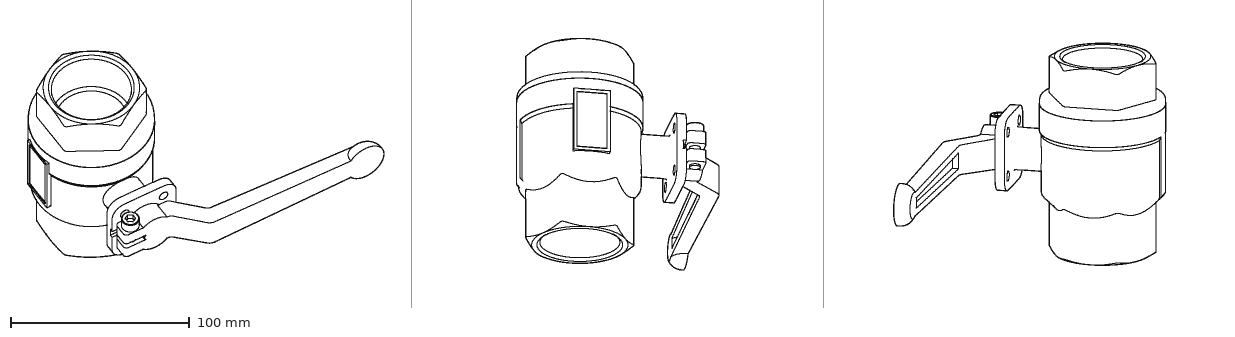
import cadquery as cq
import math


HALF_LENGTH = 57.0
HEX_FLATS = 54.0
HEX_EDGE_RADIUS = 2.5
HEX_CHAMFER_ANGLE = 30.0
PORT_DIAMETER = 40.0
THREAD_DIAMETER = 44.84
THREAD_DEPTH = 25.0
THREAD_END_TAPER = 1.0
MOUTH_DIAMETER = 48.0

COLLAR_RADIUS = 71.0 / 2
COLLAR_RIM_RADIUS = 70.6 / 2
COLLAR_TOP = 33.95
COLLAR_FILLET = 2.0
COLLAR_STEP_Z = 29.4
COLLAR_BOTTOM = 13.9
NECK_BOTTOM = 11.7
COLLAR_OVERLAP = 1.0
BODY_RADIUS = 34.4
BODY_BOTTOM = -22.3
BODY_FILLET = 2.0
CONE_DEPTH = 10.0
RIM_SEARCH_MARGIN = 1.0
RIB_WIDTH = 10.0

PLATE_FACE_Y = -35.56
PLATE_WIDTH = 20.8
PLATE_HEIGHT = 37.0
PLATE_CENTER_Z = 4.3
PLATE_BORDER = 1.9
PLATE_RECESS = 0.5
PLATE_ROOT_DEPTH = 12.0

STEM_DIAMETER = 24.0
STEM_FILLET = 2.0
FLANGE_FRONT_X = 51.3
FLANGE_BACK_X = 56.8
FLANGE_SIZE = 42.0
FLANGE_CROWN = 0.25
FLANGE_CORNER = 8.0
FLANGE_HOLE_DIAMETER = 5.5
FLANGE_HOLE_CIRCLE = 36.0
SPINDLE_DIAMETER = 13.9
SPINDLE_KEY_WIDTH = 1.6
SPINDLE_KEY_HEIGHT = 1.2
NOTCH_WIDTH = 4.8
NOTCH_DEPTH = 1.9

HUB_FRONT_X = 57.6
HUB_BACK_X = 68.5
CLAMP_FRONT_X = 57.9
CLAMP_END_Y = -19.6
CLAMP_HALF_HEIGHT = 9.2
CLAMP_CORNER = 2.2
SLIT_WIDTH = 3.6

SCREW_X = 63.1
SCREW_Y = -12.9
SCREW_DIAMETER = 6.0
SCREW_END_Z = -10.2
HEAD_DIAMETER = 10.0
HEAD_HEIGHT = 6.0
HEAD_CHAMFER = 0.4
SOCKET_FLATS = 5.0
SOCKET_DEPTH = 3.0
SOCKET_TIP_DEPTH = 1.4

LEVER_BACK_X = 85.05
LEVER_FRONT_X = 58.2
LEVER_OFFSET_X = 74.7
LEVER_HALF_WIDTH = 9.2
LEVER_OUTER_BEND_Y = 10.1
LEVER_INNER_BEND_Y = 14.7
LOWER_BEND_RADIUS = 4.0
UPPER_BEND_RADIUS = 6.0
TAPER = math.tan(math.radians(1.05))
KNOB_Y = 128.0
KNOB_RADIUS = 12.0
KNOB_RIM = 1.2
KNOB_ROUNDING = 8.3
GROOVE_START_Y = 33.0
GROOVE_END_Y = 121.8
GROOVE_DEPTH = 3.6
GROOVE_START_HALF_WIDTH = 4.6
GROOVE_END_HALF_WIDTH = 3.0

OUTER_BEND_TOP_Y = LEVER_OUTER_BEND_Y + LEVER_BACK_X - HUB_BACK_X
INNER_BEND_TOP_Y = LEVER_INNER_BEND_Y + LEVER_OFFSET_X - LEVER_FRONT_X


def x_cylinder(diameter, x_start, x_end):
    """Cylinder on the stem axis."""
    return cq.Workplane("YZ", origin=(x_start, 0, 0)).circle(diameter / 2).extrude(x_end - x_start)


def box_between(x_range, y_range, z_range):
    """Box given by its limits along each axis."""
    lows, highs = zip(x_range, y_range, z_range)
    sizes = [high - low for low, high in zip(lows, highs)]
    return cq.Workplane("XY").box(*sizes, centered=False).translate(lows)


def lever_front_x(y):
    """X of the tapered front face of the lever's straight part."""
    return LEVER_OFFSET_X + (y - INNER_BEND_TOP_Y) * TAPER


def make_hexagon():
    """Full-length hexagon with rounded edges and conically chamfered ends."""
    corner_diameter = HEX_FLATS / math.cos(math.pi / 6)
    prism = (
        cq.Workplane("XY", origin=(0, 0, -HALF_LENGTH))
        .polygon(6, corner_diameter)
        .extrude(2 * HALF_LENGTH)
        .edges("|Z")
        .fillet(HEX_EDGE_RADIUS)
    )
    face_radius = HEX_FLATS / 2
    outer_radius = corner_diameter / 2
    drop = (outer_radius - face_radius) * math.tan(math.radians(HEX_CHAMFER_ANGLE))
    envelope = (
        cq.Workplane("XZ")
        .moveTo(0, -HALF_LENGTH)
        .lineTo(face_radius, -HALF_LENGTH)
        .lineTo(outer_radius, drop - HALF_LENGTH)
        .lineTo(outer_radius, HALF_LENGTH - drop)
        .lineTo(face_radius, HALF_LENGTH)
        .lineTo(0, HALF_LENGTH)
        .close()
        .revolve(360, (0, 0, 0), (0, 1, 0))
    )
    return prism.intersect(envelope)


def make_barrel(radius):
    """Barrel below the collar, closed by a 45 degree cone shared by all barrel radii."""
    cone_start_z = BODY_BOTTOM + radius - BODY_RADIUS
    barrel = (
        cq.Workplane("XZ")
        .moveTo(0, COLLAR_BOTTOM + COLLAR_OVERLAP)
        .lineTo(radius, COLLAR_BOTTOM + COLLAR_OVERLAP)
        .lineTo(radius, cone_start_z)
        .lineTo(BODY_RADIUS - CONE_DEPTH, BODY_BOTTOM - CONE_DEPTH)
        .lineTo(0, BODY_BOTTOM - CONE_DEPTH)
        .close()
        .revolve(360, (0, 0, 0), (0, 1, 0))
    )
    bottom_rim = cq.selectors.BoxSelector(
        (-COLLAR_RADIUS, -COLLAR_RADIUS, cone_start_z - RIM_SEARCH_MARGIN),
        (COLLAR_RADIUS, COLLAR_RADIUS, cone_start_z + RIM_SEARCH_MARGIN),
    )
    return barrel.edges("%CIRCLE").edges(bottom_rim).fillet(BODY_FILLET)


def make_collar():
    """Stepped collar with a rounded top rim and a conical neck below."""
    return (
        cq.Workplane("XZ")
        .moveTo(0, COLLAR_TOP)
        .lineTo(COLLAR_RIM_RADIUS - COLLAR_FILLET, COLLAR_TOP)
        .radiusArc((COLLAR_RIM_RADIUS, COLLAR_TOP - COLLAR_FILLET), COLLAR_FILLET)
        .lineTo(COLLAR_RIM_RADIUS, COLLAR_STEP_Z)
        .lineTo(COLLAR_RADIUS, COLLAR_STEP_Z)
        .lineTo(COLLAR_RADIUS, COLLAR_BOTTOM)
        .lineTo(COLLAR_RIM_RADIUS, COLLAR_BOTTOM)
        .lineTo(BODY_RADIUS, NECK_BOTTOM)
        .lineTo(0, NECK_BOTTOM)
        .close()
        .revolve(360, (0, 0, 0), (0, 1, 0))
    )


def make_rib():
    """Vertical rib on the -X side, flush with the collar."""
    strip = box_between(
        (-COLLAR_RADIUS, 0),
        (-RIB_WIDTH / 2, RIB_WIDTH / 2),
        (BODY_BOTTOM - CONE_DEPTH, COLLAR_BOTTOM + COLLAR_OVERLAP),
    )
    return make_barrel(COLLAR_RADIUS).intersect(strip)


def make_name_plate():
    """Rectangular plate block and the shallow recess to cut from its face."""
    plate = (
        cq.Workplane("XZ", origin=(0, PLATE_FACE_Y, PLATE_CENTER_Z))
        .rect(PLATE_WIDTH, PLATE_HEIGHT)
        .extrude(-PLATE_ROOT_DEPTH)
    )
    recess = (
        cq.Workplane("XZ", origin=(0, PLATE_FACE_Y, PLATE_CENTER_Z))
        .rect(PLATE_WIDTH - 2 * PLATE_BORDER, PLATE_HEIGHT - 2 * PLATE_BORDER)
        .extrude(-PLATE_RECESS)
    )
    return plate, recess


def make_bore():
    """Port with a thread-size counterbore and a chamfered mouth at each end."""
    port_radius = PORT_DIAMETER / 2
    thread_radius = THREAD_DIAMETER / 2
    mouth_radius = MOUTH_DIAMETER / 2
    thread_end = HALF_LENGTH - THREAD_DEPTH
    half = (
        cq.Workplane("XZ")
        .lineTo(port_radius, 0)
        .lineTo(port_radius, thread_end - THREAD_END_TAPER)
        .lineTo(thread_radius, thread_end)
        .lineTo(thread_radius, HALF_LENGTH - (mouth_radius - thread_radius))
        .lineTo(mouth_radius, HALF_LENGTH)
        .lineTo(0, HALF_LENGTH)
        .close()
        .revolve(360, (0, 0, 0), (0, 1, 0))
    )
    return half.union(half.mirror("XY"))


def make_flange():
    """Square, crowned mounting flange with four holes, a raised face and a notch."""
    hole_pitch = FLANGE_HOLE_CIRCLE / math.sqrt(2)
    half = FLANGE_SIZE / 2
    crest = half + FLANGE_CROWN
    outline = [(-half, -half), (0, -crest), (half, -half), (half, half), (0, crest), (-half, half)]
    flange = (
        cq.Workplane("YZ", origin=(FLANGE_FRONT_X, 0, 0))
        .polyline(outline)
        .close()
        .extrude(FLANGE_BACK_X - FLANGE_FRONT_X)
        .edges("|X and (<Y or >Y)")
        .fillet(FLANGE_CORNER)
        .faces(">X")
        .workplane()
        .rect(hole_pitch, hole_pitch, forConstruction=True)
        .vertices()
        .hole(FLANGE_HOLE_DIAMETER)
    )
    raised_face = x_cylinder(STEM_DIAMETER, FLANGE_BACK_X, HUB_FRONT_X)
    notch = box_between(
        (FLANGE_BACK_X - NOTCH_DEPTH, HUB_FRONT_X),
        (-half, SPINDLE_KEY_HEIGHT - SPINDLE_DIAMETER / 2),
        (-NOTCH_WIDTH / 2, NOTCH_WIDTH / 2),
    )
    return flange.union(raised_face).cut(notch)


def make_stem():
    """Stem housing flared by a fillet where it meets the flange."""
    radius = STEM_DIAMETER / 2
    return (
        cq.Workplane("XY")
        .moveTo(PORT_DIAMETER / 2, 0)
        .lineTo(PORT_DIAMETER / 2, radius)
        .lineTo(FLANGE_FRONT_X - STEM_FILLET, radius)
        .radiusArc((FLANGE_FRONT_X, radius + STEM_FILLET), -STEM_FILLET)
        .lineTo(FLANGE_FRONT_X, 0)
        .close()
        .revolve(360, (0, 0, 0), (1, 0, 0))
    )


def make_spindle():
    """Spindle inside the hub, with a tapered key facing the slit."""
    front_x = FLANGE_BACK_X - NOTCH_DEPTH
    key_top_y = -SPINDLE_DIAMETER / 2
    key_base_y = key_top_y + SPINDLE_KEY_HEIGHT
    base_half_width = SPINDLE_KEY_WIDTH / 2 + SPINDLE_KEY_HEIGHT
    core = x_cylinder(SPINDLE_DIAMETER - 2 * SPINDLE_KEY_HEIGHT, front_x, HUB_BACK_X)
    key = (
        cq.Workplane("YZ", origin=(front_x, 0, 0))
        .moveTo(0, -base_half_width)
        .lineTo(key_base_y, -base_half_width)
        .lineTo(key_top_y, -SPINDLE_KEY_WIDTH / 2)
        .lineTo(key_top_y, SPINDLE_KEY_WIDTH / 2)
        .lineTo(key_base_y, base_half_width)
        .lineTo(0, base_half_width)
        .close()
        .extrude(HUB_BACK_X - front_x)
    )
    return core.union(key)


def make_clamp_hub():
    """Round hub with a slit clamp block on its -Y side."""
    hub = x_cylinder(STEM_DIAMETER, HUB_FRONT_X, HUB_BACK_X)
    block = box_between(
        (CLAMP_FRONT_X, HUB_BACK_X),
        (CLAMP_END_Y, 0),
        (-CLAMP_HALF_HEIGHT, CLAMP_HALF_HEIGHT),
    )
    block = block.edges("|Z and <Y").fillet(CLAMP_CORNER)
    slit = box_between(
        (HUB_FRONT_X, HUB_BACK_X),
        (CLAMP_END_Y, SPINDLE_KEY_HEIGHT - SPINDLE_DIAMETER / 2),
        (-SLIT_WIDTH / 2, SLIT_WIDTH / 2),
    )
    return hub.union(block).cut(slit).union(make_spindle())


def make_screw():
    """Hexagon socket screw closing the clamp."""
    head_top = CLAMP_HALF_HEIGHT + HEAD_HEIGHT
    shank = (
        cq.Workplane("XY", origin=(SCREW_X, SCREW_Y, SCREW_END_Z))
        .circle(SCREW_DIAMETER / 2)
        .extrude(CLAMP_HALF_HEIGHT - SCREW_END_Z)
    )
    head = (
        cq.Workplane("XY", origin=(SCREW_X, SCREW_Y, CLAMP_HALF_HEIGHT))
        .circle(HEAD_DIAMETER / 2)
        .extrude(HEAD_HEIGHT)
        .faces(">Z")
        .chamfer(HEAD_CHAMFER)
    )
    socket_bottom = head_top - SOCKET_DEPTH
    socket = (
        cq.Workplane("XY", origin=(SCREW_X, SCREW_Y, socket_bottom))
        .polygon(6, SOCKET_FLATS / math.cos(math.pi / 6))
        .extrude(SOCKET_DEPTH)
    )
    tip = cq.Workplane("XY").add(
        cq.Solid.makeCone(
            SOCKET_FLATS / 2,
            0,
            SOCKET_TIP_DEPTH,
            pnt=cq.Vector(SCREW_X, SCREW_Y, socket_bottom),
            dir=cq.Vector(0, 0, -1),
        )
    )
    return shank.union(head).cut(socket).cut(tip)


def make_lever_bar():
    """Cranked, tapered bar with a rounded end."""
    end_half_width = LEVER_HALF_WIDTH - KNOB_Y * TAPER
    end_y = KNOB_Y + end_half_width
    bar = (
        cq.Workplane("XY", origin=(0, 0, -LEVER_HALF_WIDTH))
        .moveTo(HUB_BACK_X, 0)
        .lineTo(HUB_BACK_X, LEVER_OUTER_BEND_Y)
        .lineTo(LEVER_BACK_X, OUTER_BEND_TOP_Y)
        .lineTo(LEVER_BACK_X, end_y)
        .lineTo(lever_front_x(end_y), end_y)
        .lineTo(LEVER_OFFSET_X, INNER_BEND_TOP_Y)
        .lineTo(LEVER_FRONT_X, LEVER_INNER_BEND_Y)
        .lineTo(LEVER_FRONT_X, 0)
        .close()
        .extrude(2 * LEVER_HALF_WIDTH)
    )
    bends = (
        (HUB_BACK_X, LEVER_OUTER_BEND_Y, LOWER_BEND_RADIUS),
        (LEVER_FRONT_X, LEVER_INNER_BEND_Y, LOWER_BEND_RADIUS),
        (LEVER_BACK_X, OUTER_BEND_TOP_Y, UPPER_BEND_RADIUS),
        (LEVER_OFFSET_X, INNER_BEND_TOP_Y, LOWER_BEND_RADIUS),
    )
    for x, y, radius in bends:
        bar = bar.edges(cq.selectors.NearestToPointSelector((x, y, 0))).fillet(radius)
    outline = (
        cq.Workplane("YZ", origin=(LEVER_FRONT_X, 0, 0))
        .moveTo(0, -LEVER_HALF_WIDTH)
        .lineTo(KNOB_Y, -end_half_width)
        .threePointArc((end_y, 0), (KNOB_Y, end_half_width))
        .lineTo(0, LEVER_HALF_WIDTH)
        .close()
        .extrude(LEVER_BACK_X - LEVER_FRONT_X)
    )
    return bar.intersect(outline)


def make_groove():
    """Long narrowing groove in the lever's front face, with a 45 degree end ramp."""
    depth_profile = (
        cq.Workplane("XY", origin=(0, 0, -LEVER_HALF_WIDTH))
        .moveTo(LEVER_FRONT_X, GROOVE_START_Y)
        .lineTo(lever_front_x(GROOVE_START_Y) + GROOVE_DEPTH, GROOVE_START_Y)
        .lineTo(lever_front_x(GROOVE_END_Y) + GROOVE_DEPTH, GROOVE_END_Y - GROOVE_DEPTH)
        .lineTo(lever_front_x(GROOVE_END_Y), GROOVE_END_Y)
        .lineTo(LEVER_FRONT_X, GROOVE_END_Y)
        .close()
        .extrude(2 * LEVER_HALF_WIDTH)
    )
    outline = (
        cq.Workplane("YZ", origin=(LEVER_FRONT_X, 0, 0))
        .moveTo(GROOVE_START_Y, -GROOVE_START_HALF_WIDTH)
        .lineTo(GROOVE_END_Y, -GROOVE_END_HALF_WIDTH)
        .lineTo(GROOVE_END_Y, GROOVE_END_HALF_WIDTH)
        .lineTo(GROOVE_START_Y, GROOVE_START_HALF_WIDTH)
        .close()
        .extrude(LEVER_BACK_X - LEVER_FRONT_X)
    )
    return depth_profile.intersect(outline)


def make_knob():
    """Domed knob around the lever end, trimmed by the plane of the lever's front face."""
    rim_x = LEVER_BACK_X - KNOB_RIM
    dome_x = rim_x - KNOB_ROUNDING
    dome = (
        cq.Workplane("XY", origin=(0, KNOB_Y, 0))
        .moveTo(dome_x, 0)
        .lineTo(dome_x, KNOB_RADIUS - KNOB_ROUNDING)
        .radiusArc((rim_x, KNOB_RADIUS), KNOB_ROUNDING)
        .lineTo(LEVER_BACK_X, KNOB_RADIUS)
        .lineTo(LEVER_BACK_X, 0)
        .close()
        .revolve(360, (0, 0, 0), (1, 0, 0))
    )
    low_y = KNOB_Y - KNOB_RADIUS
    high_y = KNOB_Y + KNOB_RADIUS
    trim = (
        cq.Workplane("XY", origin=(0, 0, -KNOB_RADIUS))
        .moveTo(LEVER_FRONT_X, low_y)
        .lineTo(lever_front_x(low_y), low_y)
        .lineTo(lever_front_x(high_y), high_y)
        .lineTo(LEVER_FRONT_X, high_y)
        .close()
        .extrude(2 * KNOB_RADIUS)
    )
    return dome.cut(trim)


plate, plate_recess = make_name_plate()
body = make_barrel(BODY_RADIUS).union(make_rib()).union(make_collar()).union(plate)
housing = make_hexagon().union(body).union(make_stem()).cut(plate_recess).cut(make_bore())
lever = make_lever_bar().union(make_knob()).cut(make_groove())
handle = make_clamp_hub().union(lever).union(make_screw())
result = housing.union(make_flange()).union(handle)